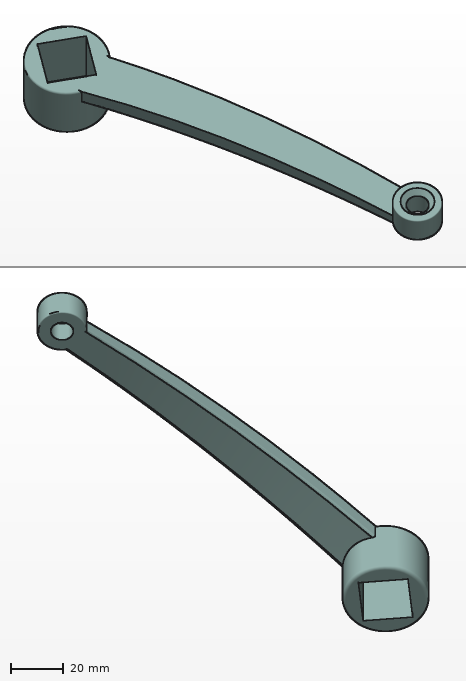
import cadquery as cq
import math

hub_diameter = 33.0
hub_height = 25.0
hub_top_fillet = 1.0
hub_bottom_fillet = 1.5
square_side = 19.0
square_turn = 45.0

eye_distance = 160.0
eye_diameter = 19.0
eye_bottom = 38.0
eye_top = 50.0
eye_edge_fillet = 0.5
hole_diameter = 8.6
countersink_diameter = 13.0
countersink_angle = 90.0

arm_root_width = 20.0
arm_tip_width = 13.0
arm_root_x = hub_diameter / 4
arm_tip_x = eye_distance - math.sqrt(eye_diameter**2 - arm_tip_width**2) / 2
arm_edge_fillet = 1.0

top_radius = 400.0
top_arc_start_x = square_side / math.sqrt(2)
top_arc_end_x = 151.4
top_arc_end_z = 43.2

underside_radius = 500.0


def make_hub():
    hub = cq.Workplane("XY").circle(hub_diameter / 2).extrude(hub_height)
    hub = hub.faces(">Z").edges().fillet(hub_top_fillet)
    return hub.faces("<Z").edges().fillet(hub_bottom_fillet)


def make_eye():
    eye = (
        cq.Workplane("XY", origin=(eye_distance, 0, eye_bottom))
        .circle(eye_diameter / 2)
        .extrude(eye_top - eye_bottom)
    )
    return eye.faces(">Z or <Z").edges().fillet(eye_edge_fillet)


def underside_height(x):
    """Z of the underside of the arm at a given X."""
    from_tip = arm_tip_x - x
    return eye_bottom - underside_radius + math.sqrt(underside_radius**2 - from_tip**2)


def make_arm():
    middle_x = (arm_root_x + arm_tip_x) / 2
    underside_middle = (middle_x, underside_height(middle_x))
    underside_root = (arm_root_x, underside_height(arm_root_x))
    side = (
        cq.Workplane("XZ")
        .moveTo(arm_root_x, hub_height)
        .lineTo(top_arc_start_x, hub_height)
        .radiusArc((top_arc_end_x, top_arc_end_z), top_radius)
        .lineTo(arm_tip_x, top_arc_end_z)
        .lineTo(arm_tip_x, eye_bottom)
        .threePointArc(underside_middle, underside_root)
        .close()
        .extrude(arm_root_width, both=True)
    )
    plan = (
        cq.Workplane("XY")
        .moveTo(arm_root_x, -arm_root_width / 2)
        .lineTo(arm_tip_x, -arm_tip_width / 2)
        .lineTo(arm_tip_x, arm_tip_width / 2)
        .lineTo(arm_root_x, arm_root_width / 2)
        .close()
        .extrude(eye_top)
    )
    arm = side.intersect(plan)
    underside = arm.faces(cq.selectors.NearestToPointSelector((middle_x, 0, 0)))
    return underside.edges("not |Y").fillet(arm_edge_fillet)


def make_socket():
    socket = cq.Workplane("XY").rect(square_side, square_side).extrude(hub_height)
    return socket.rotate((0, 0, 0), (0, 0, 1), square_turn)


def drill_eye(body):
    eye_face = body.faces(">Z").workplane(origin=(eye_distance, 0, eye_top))
    return eye_face.cskHole(hole_diameter, countersink_diameter, countersink_angle)


body = make_hub().union(make_eye()).union(make_arm())
result = drill_eye(body.cut(make_socket()))